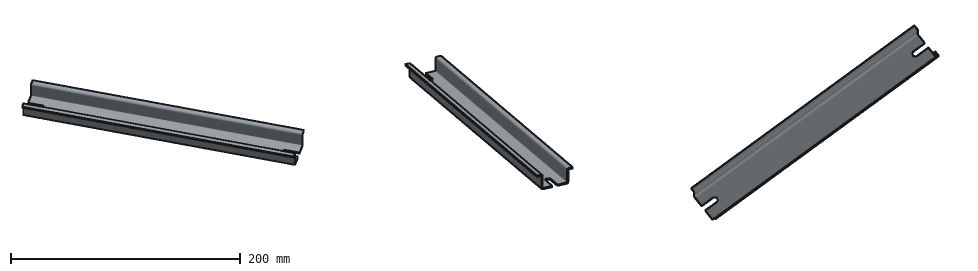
import cadquery as cq

length = 245.0
flange_width = 35.0
channel_width = 27.0
height = 15.0
thickness = 1.5
inner_bend = 0.5
outer_bend = inner_bend + thickness

slot_width = 5.1
slot_depth = 15.0

half_channel = channel_width / 2
half_cavity = half_channel - thickness
top = height / 2
bottom = -top


def block(width, z_low, z_high):
    """Full-length bar centred on Y, spanning the given heights."""
    return cq.Workplane("XY").box(length, width, z_high - z_low).translate((0, 0, (z_low + z_high) / 2))


def bent_profile():
    """Flanged channel with concentric bends of constant sheet thickness."""
    flange = block(flange_width, top - thickness, top)
    body = block(channel_width, bottom, top - thickness).edges("|X and <Z").fillet(outer_bend)
    outside = flange.union(body)

    under_flange = cq.selectors.BoxSelector(
        (-length, -half_channel - inner_bend / 2, top - thickness - inner_bend / 2),
        (length, half_channel + inner_bend / 2, top - thickness + inner_bend / 2),
    )
    outside = outside.edges("|X").edges(under_flange).fillet(inner_bend)

    cavity = block(2 * half_cavity, bottom + thickness, top).edges("|X and <Z").fillet(inner_bend)
    channel = outside.cut(cavity)
    mouth = channel.edges("|X and >Z").edges(
        cq.selectors.BoxSelector(
            (-length, -half_channel, bottom),
            (length, half_channel, height),
        )
    )
    return mouth.fillet(outer_bend)


def end_slot(side):
    """Round-bottomed slot cutter entering from one end of the rail."""
    cutter_length = 2 * slot_depth
    return (
        cq.Workplane("XY", origin=(side * length / 2, 0, bottom - thickness))
        .slot2D(cutter_length, slot_width)
        .extrude(3 * thickness)
    )


result = bent_profile()
for side in (-1, 1):
    result = result.cut(end_slot(side))